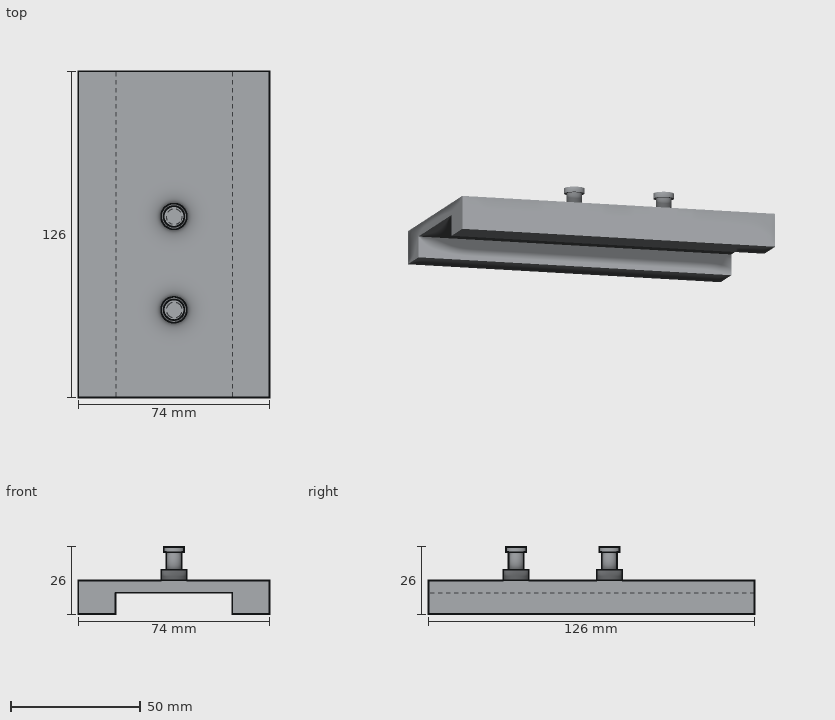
import cadquery as cq

plate_width = 74.0
plate_length = 126.0
plate_height = 13.0

channel_width = 45.0
web_thickness = 4.8
channel_depth = plate_height - web_thickness

total_height = 26.0
collar_diameter = 10.0
collar_height = 4.2
neck_diameter = 6.0
head_diameter = 8.0
head_height = 2.0
neck_height = total_height - plate_height - collar_height - head_height
rear_pin_y = 6.9
pin_spacing = 36.0
pin_y_positions = (rear_pin_y, rear_pin_y - pin_spacing)


def make_plate():
    """Flat plate with a channel leaving a leg along each long side."""
    block = cq.Workplane("XY").box(
        plate_width, plate_length, plate_height, centered=(True, True, False)
    )
    channel = cq.Workplane("XY").box(
        channel_width, plate_length, channel_depth, centered=(True, True, False)
    )
    return block.cut(channel)


def make_pin(y):
    """Collar, neck and head stacked upward from the plate's top face."""
    return (
        cq.Workplane("XY", origin=(0, y, plate_height))
        .circle(collar_diameter / 2)
        .extrude(collar_height)
        .faces(">Z").workplane()
        .circle(neck_diameter / 2)
        .extrude(neck_height)
        .faces(">Z").workplane()
        .circle(head_diameter / 2)
        .extrude(head_height)
    )


result = make_plate()
for pin_y in pin_y_positions:
    result = result.union(make_pin(pin_y))